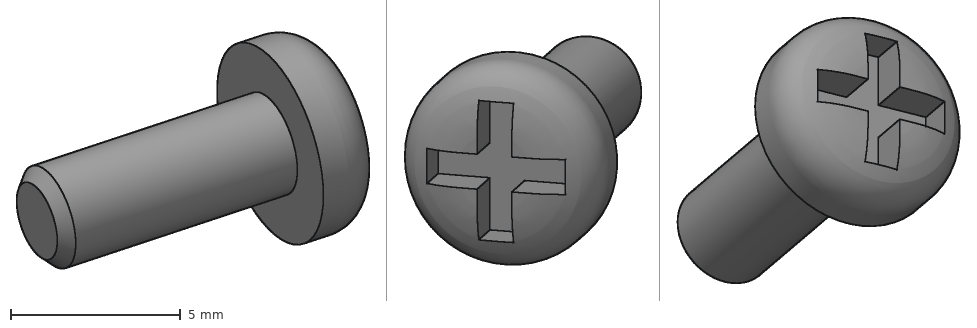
import cadquery as cq

total_length = 10.18
head_diameter = 6.22
head_height = 2.23
rim_height = 0.89
crown_diameter = 5.11
crown_drop = 0.34
flat_top_diameter = 2.34
shank_diameter = 3.18
tip_chamfer = 0.4
recess_width = 1.07
recess_span = 4.26
recess_depth = 1.32

tip_y = head_height - total_length
top_y = head_height
shoulder_y = top_y - crown_drop
head_radius = head_diameter / 2
crown_radius = crown_diameter / 2
flat_top_radius = flat_top_diameter / 2
shank_radius = shank_diameter / 2


def make_head():
    """Revolve a rim, rounded shoulder and shallow crown around Y."""
    shoulder = (
        cq.Workplane("XY")
        .lineTo(head_radius, 0)
        .lineTo(head_radius, rim_height)
        .tangentArcPoint((crown_radius, shoulder_y), relative=False)
        .lineTo(0, shoulder_y)
        .close()
        .revolve(360, (0, 0), (0, 1))
    )
    crown = (
        cq.Workplane("XY")
        .moveTo(0, shoulder_y)
        .lineTo(0, top_y)
        .lineTo(flat_top_radius, top_y)
        .tangentArcPoint((crown_radius, shoulder_y), relative=False)
        .close()
        .revolve(360, (0, 0), (0, 1))
    )
    return shoulder.union(crown)


def make_shank():
    """Cylinder from the head underside to a chamfered tip."""
    return (
        cq.Workplane("XZ")
        .circle(shank_radius)
        .extrude(-tip_y)
        .faces("<Y")
        .chamfer(tip_chamfer)
    )


def make_cross_recess():
    """Two crossed bars sunk into the crown along X and Z."""
    bar = cq.Workplane("XY").box(recess_span, recess_depth, recess_width)
    cross = bar.union(bar.rotate((0, 0, 0), (0, 1, 0), 90))
    return cross.translate((0, top_y - recess_depth / 2, 0))


result = make_head().union(make_shank()).cut(make_cross_recess())